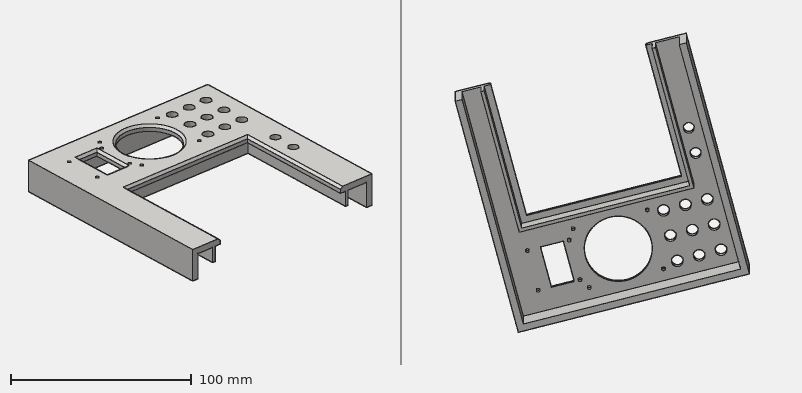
import cadquery as cq

length = 137.5
width = 132.3
height = 20.0
plate = 4.0
wall = 4.0
bevel = 1.5

left = -length / 2
right = length / 2
front = -width / 2
back = width / 2
plate_bottom = height - plate

window_left = left + 59.5
window_front = front + 20.4
window_back = back - 23.2

rim_setback = 3.7
rim_thickness = 1.9
rim_depth = 9.6

panel_center_x = left + 28.0

button_diameter = 6.5
button_pitch_x = 15.0
button_pitch_y = 12.5
button_center_y = back - 25.3

indicator_diameter = 6.0
indicator_pitch = button_pitch_x
indicator_x = left + 78.0
indicator_y = back - 12.2

round_diameter = 37.5
round_y = back - 67.6
round_screw_pitch_x = 35.0
round_screw_pitch_y = 42.5

display_length = 23.9
display_width = 13.0
display_y = back - 102.6
display_screw_pitch_x = 23.5
display_screw_pitch_y = 23.9
display_screw_y = back - 104.6

screw_diameter = 2.0


def box(x_min, x_max, y_min, y_max, z_min, z_max):
    """Axis-aligned block between the given limits."""
    block = cq.Workplane("XY").box(x_max - x_min, y_max - y_min, z_max - z_min, centered=False)
    return block.translate((x_min, y_min, z_min))


def grid_holes(x, y, pitch_x, pitch_y, columns, rows, diameter):
    """Cutters for a grid of holes through the plate, centred on (x, y)."""
    return (
        cq.Workplane("XY", origin=(x, y, plate_bottom))
        .rarray(pitch_x, pitch_y, columns, rows)
        .circle(diameter / 2)
        .extrude(plate)
    )


def beveled_rectangle(x_min, x_max, y_min, y_max):
    """Cutter for a rectangular opening that widens at the top face."""
    size_x = x_max - x_min
    size_y = y_max - y_min
    center = ((x_min + x_max) / 2, (y_min + y_max) / 2, height)
    flare = (
        cq.Workplane("XY", origin=center)
        .rect(size_x + 2 * bevel, size_y + 2 * bevel)
        .workplane(offset=-bevel)
        .rect(size_x, size_y)
        .loft(ruled=True)
    )
    return box(x_min, x_max, y_min, y_max, 0, height).union(flare)


def beveled_circle(x, y, diameter):
    """Cutter for a round opening that widens at the top face."""
    radius = diameter / 2
    bore = cq.Workplane("XY", origin=(x, y, plate_bottom)).circle(radius).extrude(plate)
    flare = (
        cq.Workplane("XY", origin=(x, y, height))
        .circle(radius + bevel)
        .workplane(offset=-bevel)
        .circle(radius)
        .loft(ruled=True)
    )
    return bore.union(flare)


shell = box(left, right, front, back, 0, height)
shell = shell.cut(box(left + wall, right, front + wall, back - wall, 0, plate_bottom))

rim_left = window_left - rim_setback
rim_front = window_front - rim_setback
rim_back = window_back + rim_setback
rim_bottom = plate_bottom - rim_depth
rim = box(
    rim_left - rim_thickness, right, rim_front - rim_thickness, rim_back + rim_thickness,
    rim_bottom, plate_bottom,
)
rim = rim.cut(box(rim_left, right, rim_front, rim_back, rim_bottom, plate_bottom))
body = shell.union(rim)

window_overrun = 2 * bevel
body = body.cut(beveled_rectangle(window_left, right + window_overrun, window_front, window_back))

body = body.cut(beveled_circle(panel_center_x, round_y, round_diameter))
body = body.cut(
    beveled_rectangle(
        panel_center_x - display_length / 2, panel_center_x + display_length / 2,
        display_y - display_width / 2, display_y + display_width / 2,
    )
)

body = body.cut(
    grid_holes(panel_center_x, button_center_y, button_pitch_x, button_pitch_y, 3, 3, button_diameter)
)
body = body.cut(
    grid_holes(indicator_x, indicator_y, indicator_pitch, indicator_pitch, 2, 1, indicator_diameter)
)
body = body.cut(
    grid_holes(panel_center_x, round_y, round_screw_pitch_x, round_screw_pitch_y, 2, 2, screw_diameter)
)
body = body.cut(
    grid_holes(
        panel_center_x, display_screw_y, display_screw_pitch_x, display_screw_pitch_y, 2, 2, screw_diameter
    )
)

result = body